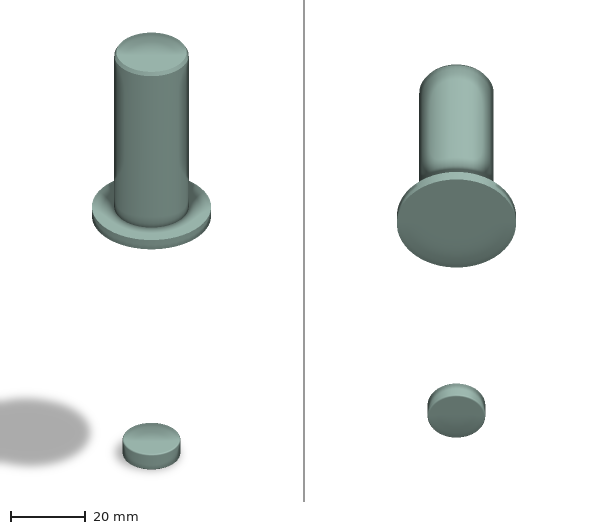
import cadquery as cq
import math

total_height = 130.0

flange_diameter = 32.0
flange_thickness = 3.0
stem_diameter = 20.0
stem_length = 50.0
lead_in_length = 1.0
lead_in_angle = 30.0

disc_diameter = 15.5
disc_thickness = 5.0
disc_rim_radius = 0.4

flange_bottom = total_height - stem_length - flange_thickness
lead_in_depth = lead_in_length * math.tan(math.radians(lead_in_angle))


def make_headed_pin():
    """Round stem on a wider flange, with a steep lead-in chamfer at its free end."""
    flange = cq.Workplane("XY").workplane(offset=flange_bottom)
    flange = flange.circle(flange_diameter / 2).extrude(flange_thickness)
    pin = flange.faces(">Z").workplane().circle(stem_diameter / 2).extrude(stem_length)
    return pin.faces(">Z").edges().chamfer(lead_in_length, lead_in_depth)


def make_disc():
    """Small disc on the pin axis, with both rims rounded."""
    disc = cq.Workplane("XY").circle(disc_diameter / 2).extrude(disc_thickness)
    return disc.faces("<Z or >Z").edges().fillet(disc_rim_radius)


headed_pin = make_headed_pin()
disc = make_disc()

result = cq.Compound.makeCompound([headed_pin.val(), disc.val()])